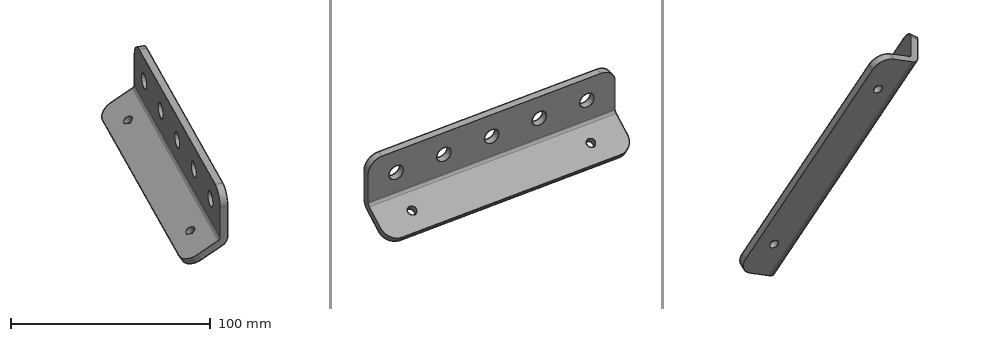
import cadquery as cq
import math

length = 145.0
depth = 23.3
height = 42.3
thickness = 4.0

slope = math.radians(30)
inner_bend_radius = 2.0
outer_bend_radius = inner_bend_radius + thickness
corner_radius = 8.4

wall_hole_diameter = 8.4
wall_hole_count = 5
wall_hole_pitch = 28.0
wall_hole_drop = 13.9
flange_hole_diameter = 5.0
flange_hole_spacing = 105.0
flange_hole_inset = 11.3

flange_length = (depth - thickness * math.sin(slope)) / math.cos(slope)
wall_height = height - flange_length * math.sin(slope)

flange_end = (-flange_length * math.cos(slope), -flange_length * math.sin(slope))
flange_end_upper = (
    flange_end[0] - thickness * math.sin(slope),
    flange_end[1] + thickness * math.cos(slope),
)
bend_turn = math.pi / 2 - slope
inner_corner = (-thickness, thickness * math.tan(bend_turn / 2))


def edge_near(at):
    """Select the edge whose middle lies at a given (Y, Z) point."""
    return cq.selectors.NearestToPointSelector((0, at[0], at[1]))


profile = [
    (0, 0),
    (0, wall_height),
    (-thickness, wall_height),
    inner_corner,
    flange_end_upper,
    flange_end,
]
sheet = (
    cq.Workplane("YZ")
    .polyline(profile)
    .close()
    .extrude(length / 2, both=True)
)
sheet = sheet.edges(edge_near((0, 0))).fillet(outer_bend_radius)
sheet = sheet.edges(edge_near(inner_corner)).fillet(inner_bend_radius)

sheet = sheet.edges("|Y").edges(">Z").fillet(corner_radius)
flange_normal = cq.Vector(0, -math.sin(slope), math.cos(slope))
sheet = (
    sheet.edges(cq.selectors.ParallelDirSelector(flange_normal))
    .fillet(corner_radius)
)

wall_holes = (
    cq.Workplane("XZ", origin=(0, 0, wall_height - wall_hole_drop))
    .rarray(wall_hole_pitch, 1.5, wall_hole_count, 1)
    .circle(wall_hole_diameter / 2)
    .extrude(thickness)
)

flange_hole_reach = flange_length - flange_hole_inset
flange_plane = cq.Plane(
    origin=(0, -flange_hole_reach * math.cos(slope), -flange_hole_reach * math.sin(slope)),
    xDir=(1, 0, 0),
    normal=flange_normal,
)
flange_holes = (
    cq.Workplane(flange_plane)
    .rarray(flange_hole_spacing, 1.5, 2, 1)
    .circle(flange_hole_diameter / 2)
    .extrude(thickness)
)

result = sheet.cut(wall_holes).cut(flange_holes)